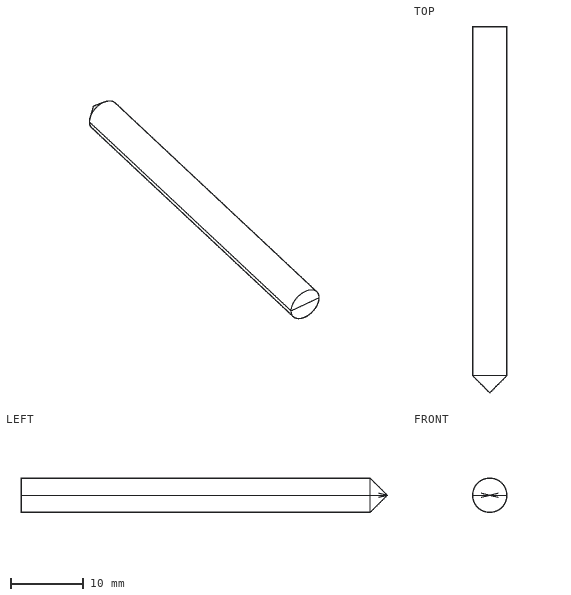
import cadquery as cq

overall_length = 50.8
diameter = 4.8
radius = diameter / 2
tip_length = radius
front_y = -overall_length / 2
back_y = overall_length / 2
shoulder_y = front_y + tip_length
half_turn = 180


def make_half_rod():
    """Half of a pointed rod along Y, split lengthwise, on the +Z side of the XY plane."""
    profile = (
        cq.Workplane("XY")
        .moveTo(0, front_y)
        .lineTo(-radius, shoulder_y)
        .lineTo(-radius, back_y)
        .lineTo(0, back_y)
        .close()
    )
    return profile.revolve(half_turn, (0, 0, 0), (0, 1, 0))


halves = []
for turn in (0, half_turn):
    half = make_half_rod().rotate((0, 0, 0), (0, 1, 0), turn)
    halves.append(half.val())

result = cq.Compound.makeCompound(halves)